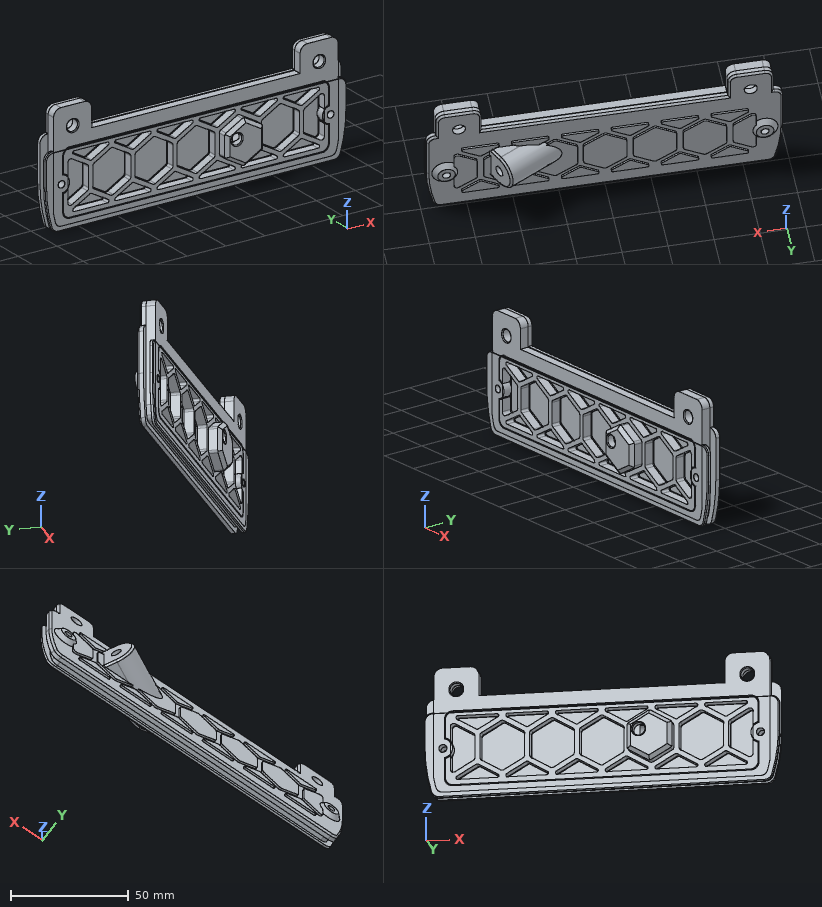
import cadquery as cq
import math

FRAME_FRONT = 0.14
FLANGE_BACK = 1.5
FRAME_BACK = 4.3
CELL_FLOOR = 5.0
PLATE_BACK = 7.3
BUMP_BACK = 8.2
BOSS_BACK = 9.5
PLUG_FRONT = -5.7

HALF_WIDTH = 77.4
SIDE_ARC_START = 21.8
SIDE_ARC_RADIUS = 66.5
CORNER_RADIUS = 3.7
PLATE_TOP = 44.6
COVER_TOP = 37.6
COVER_CHAMFER = 0.5
PLATE_CHAMFER = 1.0

FRAME_HALF_WIDTH = 73.2
FRAME_TOP = 44.3
FRAME_BOTTOM = 2.3
FRAME_ARC_START = 8.8
FRAME_ARC_RADIUS = 63.8
FRAME_CORNER_RADIUS = 3.0
EAR_WIDTH = 19.7
EAR_TOP = 57.3
EAR_HOLE_DIAMETER = 5.5
EAR_HOLE_Z = 47.5
EAR_HOLE_CHAMFER = 0.5

OPENING_HALF_WIDTH = 68.5
OPENING_BOTTOM = 5.0
OPENING_TOP = 38.1
BLOCK_GAP = 0.5

SCREW_X = 69.2
SCREW_DIAMETER = 3.4
SCREW_PILLAR_DIAMETER = 8.4
BOSS_TOP_DIAMETER = 7.6

CELL_PITCH = 21.7
CELL_FLATS = 19.5
CELL_RADIUS = 1.4
EDGE_CELL_RADIUS = 0.8
PATTERN_Z = 21.7
PATTERN_HALF_WIDTH = 66.0
PATTERN_HALF_HEIGHT = 14.1
BUMP_INSET = 0.3

PLUG_CHAMFER = 1.7
TUBE_RADIUS = 8.4
TUBE_ANGLE = 27.5
TUBE_AXIS_X = 21.2
TUBE_LENGTH = 29.1
TUBE_Z = 24.3
TUBE_CHAMFER = 1.0
BORE_DIAMETER = 4.6
MOUTH_DIAMETER = 5.4
MOUTH_X = 17.2
MOUTH_CHAMFER = 0.5

EAR_X = FRAME_HALF_WIDTH - EAR_WIDTH / 2


def sketch_plane(y):
    """Workplane at depth y; X is to the right, Z is up and extrusions run toward -Y."""
    return cq.Workplane("XZ", origin=(0, y, 0))


def box(half_width, bottom, top, front, back):
    height = top - bottom
    return (
        sketch_plane(back)
        .center(0, (bottom + top) / 2)
        .rect(2 * half_width, height)
        .extrude(back - front)
    )


def drill(x, z, diameter, front, back):
    return sketch_plane(back).center(x, z).circle(diameter / 2).extrude(back - front)


def cone(x, z, diameter, depth, front):
    """45 degree cone, widest at y = front and narrowing to diameter at y = front + depth."""
    start = sketch_plane(front + depth).center(x, z).circle(diameter / 2)
    return start.workplane(offset=depth).circle(diameter / 2 + depth).loft()


def tapered_outline(plane, half_width, bottom, top, arc_start, arc_radius):
    """Outline with upright sides that curve inward along an arc below arc_start."""
    arc_center_x = HALF_WIDTH - SIDE_ARC_RADIUS

    def side_x(z):
        return arc_center_x + math.sqrt(arc_radius**2 - (SIDE_ARC_START - z) ** 2)

    middle = (arc_start + bottom) / 2
    return (
        plane.moveTo(-half_width, top)
        .lineTo(half_width, top)
        .lineTo(half_width, arc_start)
        .threePointArc((side_x(middle), middle), (side_x(bottom), bottom))
        .lineTo(-side_x(bottom), bottom)
        .threePointArc((-side_x(middle), middle), (-half_width, arc_start))
        .close()
    )


def outer_slab(top, front, back):
    outline = tapered_outline(sketch_plane(back), HALF_WIDTH, 0, top, SIDE_ARC_START, SIDE_ARC_RADIUS)
    return outline.extrude(back - front).edges("|Y and (<Z or >Z)").fillet(CORNER_RADIUS)


def frame_slab(front, back):
    outline = tapered_outline(
        sketch_plane(back), FRAME_HALF_WIDTH, FRAME_BOTTOM, FRAME_TOP, FRAME_ARC_START, FRAME_ARC_RADIUS
    )
    return outline.extrude(back - front).edges("|Y and <Z").fillet(FRAME_CORNER_RADIUS)


def add_ears(body, front, back):
    base = PATTERN_Z
    for x in (-EAR_X, EAR_X):
        ear = (
            sketch_plane(back)
            .center(x, (base + EAR_TOP) / 2)
            .rect(EAR_WIDTH, EAR_TOP - base)
            .extrude(back - front)
            .edges("|Y and >Z")
            .fillet(CORNER_RADIUS)
        )
        body = body.union(ear)
    return body


APOTHEM = CELL_FLATS / 2
CORNER = CELL_FLATS / math.sqrt(3)
SLOPE = 1 / math.sqrt(3)
ROW_RISE = CELL_PITCH * math.sqrt(3) / 2
HEX_X = [i * CELL_PITCH for i in range(-2, 3)]
PLUG_X = CELL_PITCH


def hexagon(x):
    points = []
    for i in range(6):
        angle = math.radians(30 + 60 * i)
        points.append((x + CORNER * math.cos(angle), PATTERN_Z + CORNER * math.sin(angle)))
    return points


def mirrored(half, side):
    upper = [(side * x, PATTERN_Z + z) for x, z in half]
    lower = [(side * x, PATTERN_Z - z) for x, z in reversed(half)]
    return upper + lower


def end_cell(side):
    """Hexagon of the outermost column, cut off by the upright edge of the pattern."""
    center = 3 * CELL_PITCH
    inner = center - APOTHEM
    tip_drop = (PATTERN_HALF_WIDTH - center) * SLOPE
    half = [(inner, CORNER / 2), (center, CORNER), (PATTERN_HALF_WIDTH, CORNER - tip_drop)]
    return mirrored(half, side)


def edge_cell(x, side):
    """Tip of a hexagon of the next row, cut off by the level edge of the pattern."""
    tip = ROW_RISE - CORNER
    shoulder = ROW_RISE - CORNER / 2
    half_points = [
        (0, tip),
        (APOTHEM, shoulder),
        (APOTHEM, PATTERN_HALF_HEIGHT),
        (-APOTHEM, PATTERN_HALF_HEIGHT),
        (-APOTHEM, shoulder),
    ]
    return [(x + dx, PATTERN_Z + side * dz) for dx, dz in half_points]


def edge_cells():
    centers = [(i + 0.5) * CELL_PITCH for i in range(-3, 3)]
    return [edge_cell(x, side) for x in centers for side in (-1, 1)]


CELLS = [(hexagon(x), CELL_RADIUS) for x in HEX_X]
CELLS += [(end_cell(side), CELL_RADIUS) for side in (-1, 1)]
CELLS += [(points, EDGE_CELL_RADIUS) for points in edge_cells()]


def cell_prism(cell, front, back, inset=0.0):
    """Prism of one cell, drawn in by inset; shrinking and regrowing the outline rounds its corners."""
    points, radius = cell
    outline = sketch_plane(back).polyline(points).close().offset2D(-radius - inset)
    return outline.offset2D(radius).extrude(back - front)


def screw_cutters(front, back):
    return [drill(x, PATTERN_Z, SCREW_DIAMETER, front, back) for x in (-SCREW_X, SCREW_X)]


def make_nozzle():
    """Hexagonal plug with a leaning tube on its back and a bent bore through both."""
    plug = sketch_plane(BUMP_BACK).polyline(hexagon(PLUG_X)).close().extrude(BUMP_BACK - PLUG_FRONT)
    plug = plug.faces("<Y").chamfer(PLUG_CHAMFER)
    plug = plug.intersect(cell_prism((hexagon(PLUG_X), CELL_RADIUS), PLUG_FRONT, BUMP_BACK))
    angle = math.radians(TUBE_ANGLE)
    axis = cq.Vector(math.cos(angle), math.sin(angle), 0)
    end = cq.Vector(TUBE_AXIS_X, 0, TUBE_Z) + axis * TUBE_LENGTH
    end_plane = cq.Plane(origin=end.toTuple(), xDir=(0, 0, 1), normal=(-axis).toTuple())
    skirt = 2 * TUBE_RADIUS
    tube = (
        cq.Workplane(end_plane)
        .moveTo(-TUBE_RADIUS, -skirt)
        .lineTo(-TUBE_RADIUS, 0)
        .threePointArc((0, TUBE_RADIUS), (TUBE_RADIUS, 0))
        .lineTo(TUBE_RADIUS, -skirt)
        .close()
        .extrude(2 * TUBE_LENGTH)
        .faces(cq.selectors.DirectionMinMaxSelector(axis, True))
        .chamfer(TUBE_CHAMFER)
    )
    behind_plate = box(2 * HALF_WIDTH, -HALF_WIDTH, HALF_WIDTH, PLATE_BACK, HALF_WIDTH)
    bend_y = (MOUTH_X - TUBE_AXIS_X) * math.tan(angle)
    bend_length = TUBE_LENGTH + (TUBE_AXIS_X - MOUTH_X) / math.cos(angle)
    bore = cq.Workplane(end_plane).circle(BORE_DIAMETER / 2).extrude(bend_length)
    mouth = drill(MOUTH_X, TUBE_Z, MOUTH_DIAMETER, PLUG_FRONT, bend_y)
    mouth = mouth.union(cone(MOUTH_X, TUBE_Z, MOUTH_DIAMETER, MOUTH_CHAMFER, PLUG_FRONT))
    return plug.union(tube.intersect(behind_plate)).cut(bore).cut(mouth)


def make_frame():
    """Middle frame with two ears and an opening for the block of the cover."""
    frame = add_ears(frame_slab(FRAME_FRONT, FRAME_BACK), FRAME_FRONT, FRAME_BACK)
    opening = box(OPENING_HALF_WIDTH, OPENING_BOTTOM, OPENING_TOP, FRAME_FRONT, FRAME_BACK)
    opening = opening.edges("|Y").fillet(CORNER_RADIUS)
    for x in (-SCREW_X, SCREW_X):
        opening = opening.cut(drill(x, PATTERN_Z, SCREW_PILLAR_DIAMETER, FRAME_FRONT, FRAME_BACK))
    frame = frame.cut(opening)
    for x in (-EAR_X, EAR_X):
        frame = frame.cut(drill(x, EAR_HOLE_Z, EAR_HOLE_DIAMETER, FRAME_FRONT, FRAME_BACK))
        frame = frame.cut(cone(x, EAR_HOLE_Z, EAR_HOLE_DIAMETER, EAR_HOLE_CHAMFER, FRAME_FRONT))
    for cutter in screw_cutters(FRAME_FRONT, FRAME_BACK):
        frame = frame.cut(cutter)
    return frame


def make_cover():
    """Front cover: a flange around the frame and a honeycomb block in the opening of the frame."""
    cover = outer_slab(COVER_TOP, 0, FLANGE_BACK).faces("<Y").chamfer(COVER_CHAMFER)
    cover = cover.cut(frame_slab(FRAME_FRONT, FRAME_BACK))
    block = box(
        OPENING_HALF_WIDTH - BLOCK_GAP,
        OPENING_BOTTOM + BLOCK_GAP,
        OPENING_TOP - BLOCK_GAP,
        FRAME_FRONT,
        FRAME_BACK,
    )
    block = block.edges("|Y").fillet(CORNER_RADIUS - BLOCK_GAP)
    for x in (-SCREW_X, SCREW_X):
        pillar = SCREW_PILLAR_DIAMETER + 2 * BLOCK_GAP
        block = block.cut(drill(x, PATTERN_Z, pillar, FRAME_FRONT, FRAME_BACK))
    cover = cover.union(block)
    for cell in CELLS:
        cover = cover.cut(cell_prism(cell, 0, FRAME_BACK))
    for cutter in screw_cutters(0, FRAME_BACK):
        cover = cover.cut(cutter)
    return cover


def make_back_plate(nozzle):
    """Back plate with ears, recessed cells in front, raised cells and screw bosses behind."""
    plate = add_ears(outer_slab(PLATE_TOP, FRAME_BACK, PLATE_BACK), FRAME_BACK, PLATE_BACK)
    plate = plate.faces(">Y").chamfer(PLATE_CHAMFER)
    for cell in CELLS:
        plate = plate.union(cell_prism(cell, PLATE_BACK, BUMP_BACK, BUMP_INSET))
        plate = plate.cut(cell_prism(cell, FRAME_BACK, CELL_FLOOR))
    boss_height = BOSS_BACK - PLATE_BACK
    for x in (-SCREW_X, SCREW_X):
        plate = plate.union(cone(x, PATTERN_Z, BOSS_TOP_DIAMETER, boss_height, PLATE_BACK))
    for cutter in screw_cutters(FRAME_BACK, BOSS_BACK):
        plate = plate.cut(cutter)
    for x in (-EAR_X, EAR_X):
        plate = plate.cut(drill(x, EAR_HOLE_Z, EAR_HOLE_DIAMETER, FRAME_BACK, PLATE_BACK))
    return plate.cut(nozzle)


nozzle = make_nozzle()
frame = make_frame()
cover = make_cover()
back_plate = make_back_plate(nozzle)

result = cq.Compound.makeCompound([*cover.vals(), *frame.vals(), *back_plate.vals(), *nozzle.vals()])